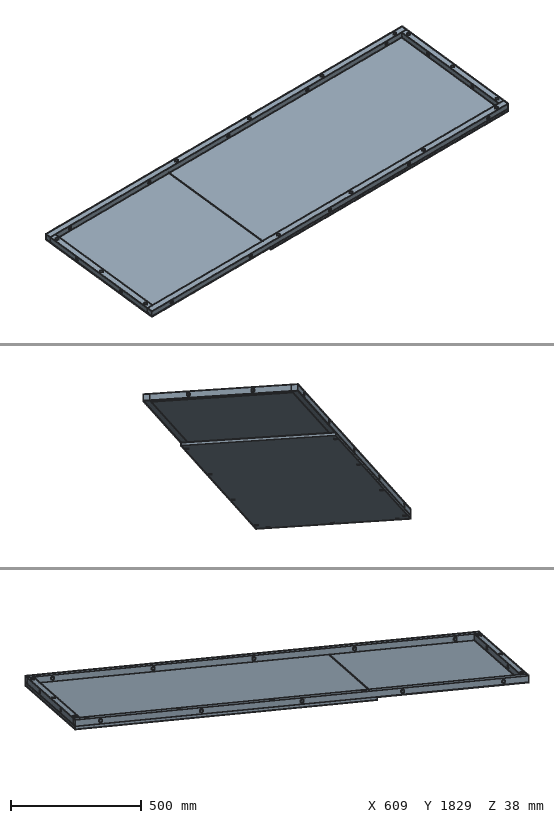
import cadquery as cq

LENGTH = 1829.0
WIDTH = 609.0
HEIGHT = 38.0

BASE_PANEL_THICKNESS = 13.0
BASE_PANEL_LENGTH = 1218.0
FRONT_SHEET_THICKNESS = 2.0
FRONT_SHEET_LENGTH = LENGTH - BASE_PANEL_LENGTH
PANEL_JOINT_Y = LENGTH / 2 - BASE_PANEL_LENGTH

RAIL_SIZE = HEIGHT - BASE_PANEL_THICKNESS
RAIL_MID_Z = BASE_PANEL_THICKNESS + RAIL_SIZE / 2
INNER_WIDTH = WIDTH - 2 * RAIL_SIZE
SIDE_RAIL_X = (WIDTH - RAIL_SIZE) / 2
END_RAIL_Y = (LENGTH - RAIL_SIZE) / 2

HOLE_DIAMETER = 13.2
SIDE_HOLE_INSET = 50.0
SIDE_HOLE_GAPS = 3
SIDE_HOLE_PITCH = (BASE_PANEL_LENGTH - 2 * SIDE_HOLE_INSET) / SIDE_HOLE_GAPS
SIDE_HOLE_YS = [
    PANEL_JOINT_Y + SIDE_HOLE_INSET + i * SIDE_HOLE_PITCH
    for i in range(SIDE_HOLE_GAPS + 1)
]
END_HOLE_PITCH = 255.0
END_HOLE_XS = [i * END_HOLE_PITCH for i in (-1, 0, 1)]
END_CROSS_HOLE_XS = [i * END_HOLE_PITCH for i in (-0.5, 0.5)]
SIDE_CROSS_HOLE_PITCH = 406.0
SIDE_CROSS_HOLE_YS = [i * SIDE_CROSS_HOLE_PITCH for i in (-2, -1, 0, 1, 2)]


def block(size_x, size_y, size_z, x, y, bottom_z):
    """Box centred at x, y and standing on bottom_z."""
    box = cq.Workplane("XY").box(size_x, size_y, size_z, centered=(True, True, False))
    return box.translate((x, y, bottom_z))


def drill(body, points, axis):
    """Drill right through the body at each point, along the given unit axis."""
    direction = cq.Vector(*axis)
    for point in points:
        start = cq.Vector(*point) - direction * HEIGHT
        bore = cq.Solid.makeCylinder(HOLE_DIAMETER / 2, 2 * HEIGHT, start, direction)
        body = body.cut(cq.Workplane(bore))
    return body


def make_side_rail(x):
    """Full-length rail with vertical panel holes and horizontal holes along X."""
    rail = block(RAIL_SIZE, LENGTH, RAIL_SIZE, x, 0, BASE_PANEL_THICKNESS)
    rail = drill(rail, [(x, y, RAIL_MID_Z) for y in SIDE_HOLE_YS], (0, 0, 1))
    return drill(rail, [(x, y, RAIL_MID_Z) for y in SIDE_CROSS_HOLE_YS], (1, 0, 0))


def make_end_rail(y):
    """Rail fitted between the side rails, with vertical holes and horizontal holes along Y."""
    rail = block(INNER_WIDTH, RAIL_SIZE, RAIL_SIZE, 0, y, BASE_PANEL_THICKNESS)
    rail = drill(rail, [(x, y, RAIL_MID_Z) for x in END_HOLE_XS], (0, 0, 1))
    return drill(rail, [(x, y, RAIL_MID_Z) for x in END_CROSS_HOLE_XS], (0, 1, 0))


def make_base_panel():
    """Thick rear panel, drilled to match the side rails and the rear end rail."""
    center_y = (LENGTH - BASE_PANEL_LENGTH) / 2
    panel = block(WIDTH, BASE_PANEL_LENGTH, BASE_PANEL_THICKNESS, 0, center_y, 0)
    side_points = [(x, y, 0) for x in (-SIDE_RAIL_X, SIDE_RAIL_X) for y in SIDE_HOLE_YS]
    end_points = [(x, END_RAIL_Y, 0) for x in END_HOLE_XS]
    return drill(panel, side_points + end_points, (0, 0, 1))


def make_front_sheet():
    """Thin front sheet, drilled to match the front end rail."""
    center_y = (FRONT_SHEET_LENGTH - LENGTH) / 2
    bottom_z = BASE_PANEL_THICKNESS - FRONT_SHEET_THICKNESS
    sheet = block(WIDTH, FRONT_SHEET_LENGTH, FRONT_SHEET_THICKNESS, 0, center_y, bottom_z)
    return drill(sheet, [(x, -END_RAIL_Y, bottom_z) for x in END_HOLE_XS], (0, 0, 1))


side_rails = [make_side_rail(x) for x in (-SIDE_RAIL_X, SIDE_RAIL_X)]
end_rails = [make_end_rail(y) for y in (-END_RAIL_Y, END_RAIL_Y)]
base_panel = make_base_panel()
front_sheet = make_front_sheet()

bodies = [*side_rails, *end_rails, base_panel, front_sheet]
result = cq.Compound.makeCompound([solid for body in bodies for solid in body.solids().vals()])